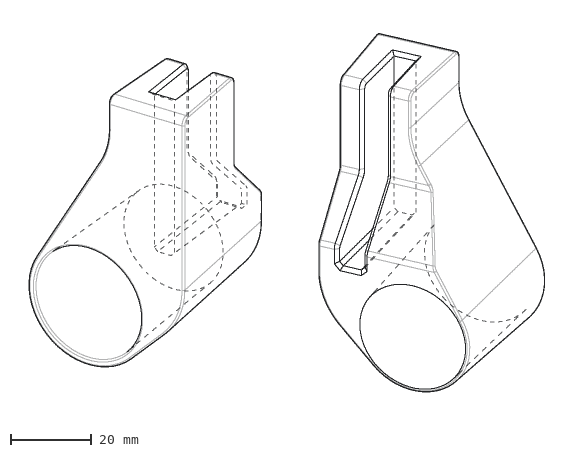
import cadquery as cq
import math


depth = 40.0
draft = math.radians(3.0)
top_z = 60.0
barrel_radius = 17.5
arm_left_x = 6.0
arm_right_x = 28.0
left_slant = math.radians(30.0)
right_slant = math.radians(45.0)
flank_blend_radius = 20.0

arm_depth = 26.0
step_slope = math.radians(45.0)
step_foot_z = 20.5
step_round = 2.0

bore_front_radius = 15.5
bore_back_radius = 14.5

slot_center_x = (arm_left_x + arm_right_x) / 2
slot_back_half_width = 3.5
slot_taper = math.radians(1.0)
slot_front_y = 8.5
slot_floor_z = 15.0
slot_chamfer = 1.0

edge_round = 0.5
tolerance = 1e-3


def on_circle(center, radius, angle):
    """Point (x, z) of a circle, with the angle measured from +X towards +Z."""
    return (center[0] + radius * math.cos(angle), center[1] + radius * math.sin(angle))


def outline(y):
    """Closed outline at depth y: barrel, two tangent flanks and the arm, with blended corners."""
    inset = y * math.tan(draft)
    radius = barrel_radius - inset
    left_x = arm_left_x + inset
    right_x = arm_right_x - inset
    blend = flank_blend_radius
    axis = (0, 0)
    bottom = -math.pi / 2

    left_normal = math.pi - left_slant
    right_normal = right_slant - math.pi / 2

    left_center_x = left_x - blend
    left_center_z = (radius + blend + left_center_x * math.cos(left_slant)) / math.sin(left_slant)
    left_center = (left_center_x, left_center_z)

    right_center_x = right_x - blend
    right_center_z = (right_center_x * math.sin(right_slant) + blend - radius) / math.cos(right_slant)
    right_center = (right_center_x, right_center_z)

    def point(x_z):
        return cq.Vector(x_z[0], y, x_z[1])

    def line(start, end):
        return cq.Edge.makeLine(point(start), point(end))

    def arc(center, arc_radius, *angles):
        return cq.Edge.makeThreePointArc(*(point(on_circle(center, arc_radius, a)) for a in angles))

    left_top = (left_x, top_z)
    right_top = (right_x, top_z)
    left_blend_end = on_circle(left_center, blend, -left_slant)
    left_touch = on_circle(axis, radius, left_normal)
    right_touch = on_circle(axis, radius, right_normal)
    right_blend_start = on_circle(right_center, blend, right_normal)
    return cq.Wire.assembleEdges(
        [
            line(left_top, (left_x, left_center_z)),
            arc(left_center, blend, 0, -left_slant / 2, -left_slant),
            line(left_blend_end, left_touch),
            arc(axis, radius, left_normal, bottom, right_normal),
            line(right_touch, right_blend_start),
            arc(right_center, blend, right_normal, right_normal / 2, 0),
            line((right_x, right_center_z), right_top),
            line(right_top, left_top),
        ]
    )


def drafted_body():
    """Body spanning the front and back outlines."""
    return cq.Workplane(cq.Solid.makeLoft([outline(0), outline(depth)], True))


def side_profile():
    """Prism along X of the side shape: rounded arm top, stepped back and slope down to the back."""
    shoulder_z = step_foot_z + (depth - arm_depth) * math.tan(step_slope)
    prism = (
        cq.Workplane("YZ")
        .moveTo(0, -barrel_radius)
        .lineTo(0, top_z)
        .lineTo(arm_depth, top_z)
        .lineTo(arm_depth, shoulder_z)
        .lineTo(depth, step_foot_z)
        .lineTo(depth, -barrel_radius)
        .close()
        .extrude(2 * arm_right_x, both=True)
    )
    shoulder_edge = cq.selectors.NearestToPointSelector((0, arm_depth, shoulder_z))
    foot_edge = cq.selectors.NearestToPointSelector((0, depth, step_foot_z))
    prism = prism.edges("|X").edges(">Z").fillet(step_round)
    prism = prism.edges(shoulder_edge).fillet(step_round)
    return prism.edges(foot_edge).fillet(step_round)


def is_outer_edge(edge):
    """True where the flanks meet the front, top, step, slope or back faces."""
    box = edge.BoundingBox()
    along_x = max(box.ylen, box.zlen) < tolerance
    flank_seam = box.ymin < tolerance and box.ymax > arm_depth - tolerance
    return not along_x and not flank_seam


def slot_cutter():
    """Upright pocket that widens towards the back, with chamfered floor corners along its sides."""
    front_half_width = slot_back_half_width - (depth - slot_front_y) * math.tan(slot_taper)
    return (
        cq.Workplane("XY", origin=(slot_center_x, 0, slot_floor_z))
        .moveTo(-front_half_width, slot_front_y)
        .lineTo(front_half_width, slot_front_y)
        .lineTo(slot_back_half_width, depth)
        .lineTo(-slot_back_half_width, depth)
        .close()
        .extrude(top_z - slot_floor_z)
        .edges("<Z")
        .edges("not |X")
        .chamfer(slot_chamfer)
    )


def is_slot_rim(edge):
    """True for the slot's edges on the outside of the part, leaving out those inside the pocket."""
    box = edge.BoundingBox()
    in_width = abs(edge.Center().x - slot_center_x) < slot_back_half_width + tolerance
    in_length = box.ymin > slot_front_y - tolerance
    above_floor = box.zmin > slot_floor_z - tolerance
    from_front_wall = box.ymin < slot_front_y + tolerance
    on_top = box.zmin > top_z - tolerance
    return in_width and in_length and above_floor and (on_top or not from_front_wall)


def bore_cutter():
    """Truncated cone along the bore axis."""
    start = cq.Vector(0, 0, 0)
    direction = cq.Vector(0, 1, 0)
    return cq.Workplane(
        cq.Solid.makeCone(bore_front_radius, bore_back_radius, depth, start, direction)
    )


def is_bore_front_rim(edge):
    """True for the full circle where the bore opens in the front face."""
    return edge.IsClosed() and edge.Center().y < tolerance


def pick_edges(part, condition):
    """Workplane holding the part's edges that meet the condition."""
    return part.edges().filter(condition)


part = drafted_body().intersect(side_profile())
part = pick_edges(part, is_outer_edge).fillet(edge_round)
part = part.cut(slot_cutter())
part = pick_edges(part, is_slot_rim).chamfer(slot_chamfer)
part = part.cut(bore_cutter())
result = pick_edges(part, is_bore_front_rim).fillet(edge_round)